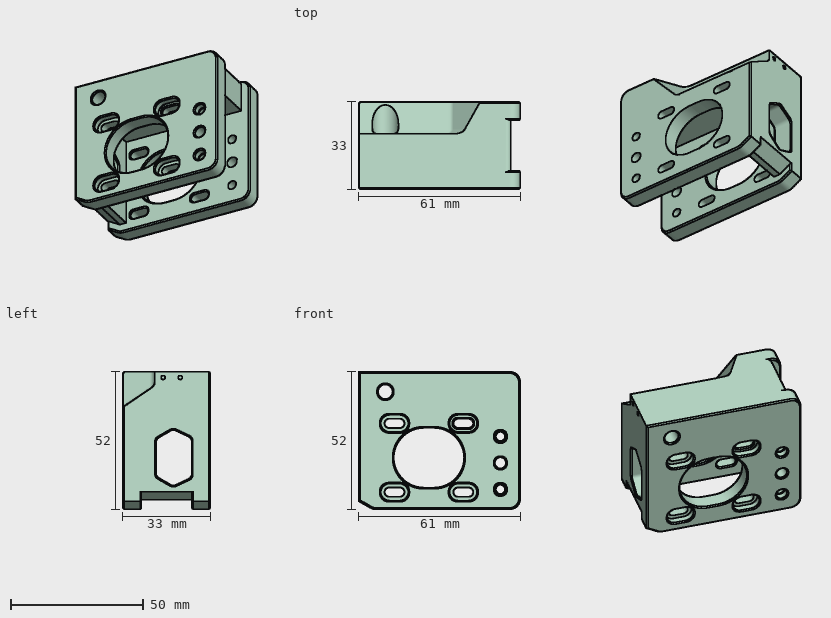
import cadquery as cq
import math

length = 61.0
depth = 33.0
height = 52.0
edge_chamfer = 0.55
corner_radius = 4.0
toe_rise = 3.05
toe_angle = 30.0
toe_run = toe_rise / math.tan(math.radians(toe_angle))
toe_radius = corner_radius

rim_thickness = 7.0
channel_depth = 3.55
channel_corner_radius = 2.0

left_wall = 8.0
motor_x = 26.5
motor_z = 19.45
cavity_top = 2 * motor_z
cavity_front_y = rim_thickness
cavity_back_y = depth - rim_thickness

mouth_chamfer = 0.5

slot_travel = 4.0
bore_diameter = 22.5
mount_spacing = 26.0
mount_slot_diameter = 3.4
mount_head_diameter = 6.35
mount_head_depth = 3.0

clamp_x = 10.0
clamp_z = 44.4
clamp_diameter = 5.5
spotface_diameter = 10.0

column_x = 53.5
column_z = 17.5
column_pitch = 10.0
column_diameter = 4.2
column_small_diameter = 3.5
column_step_depth = 3.05

window_y = 14.0
window_z = motor_z
window_front_y = 7.0
window_back_y = 20.45
window_half_height = 10.75
window_back_half_height = 7.1
window_front_half_height = 7.45
window_corner_radius = 2.0

pin_diameter = 1.5
pin_depth = 3.05
pin_z = 49.8
pin_ys = (11.35, 17.8)

relief_wall_y = 21.0
relief_floor_z = 38.6
relief_floor_angle = 34.0
relief_end_x = 34.8
relief_radius = 3.0


def front_plane(y):
    """Sketch plane facing the front, with local y along Z."""
    return cq.Workplane("XZ", origin=(0, y, 0))


def plate_outline(y, right, bottom, radius):
    """Plate profile: square upper left, sloped toe lower left, rounded right corners."""
    return (
        front_plane(y)
        .moveTo(0, bottom + toe_rise)
        .lineTo(0, height)
        .lineTo(right - radius, height)
        .radiusArc((right, height - radius), radius)
        .lineTo(right, bottom + radius)
        .radiusArc((right - radius, bottom), radius)
        .lineTo(toe_run, bottom)
        .close()
    )


def rim(y):
    """Full-size plate starting at y, chamfered around both faces."""
    plate = plate_outline(y, length, 0, corner_radius).extrude(-rim_thickness)
    toe_edge = cq.selectors.NearestToPointSelector((toe_run, y + rim_thickness / 2, 0))
    return plate.edges(toe_edge).fillet(toe_radius).faces("<Y or >Y").chamfer(edge_chamfer)


def body():
    """Core sunk by the channel depth, held between the front and back rims."""
    core = plate_outline(
        edge_chamfer, length - channel_depth, channel_depth, channel_corner_radius
    ).extrude(2 * edge_chamfer - depth)
    return core.union(rim(0)).union(rim(depth - rim_thickness))


def round_hole(x, z, diameter, start_y, end_y):
    return front_plane(start_y).center(x, z).circle(diameter / 2).extrude(start_y - end_y)


def slot(x, z, diameter, start_y, end_y):
    return (
        front_plane(start_y)
        .center(x, z)
        .slot2D(slot_travel + diameter, diameter)
        .extrude(start_y - end_y)
    )


def slot_lip(x, z, diameter, y, inward=1):
    """Chamfer cutter for a slot mouth at y, narrowing toward +Y (inward=1) or -Y (inward=-1)."""
    wide = diameter + 2 * mouth_chamfer
    return (
        front_plane(y)
        .center(x, z)
        .slot2D(slot_travel + wide, wide)
        .extrude(-inward * mouth_chamfer, taper=45)
    )


def hole_lip(x, z, diameter):
    """Chamfer cutter for the mouth of a round hole in the front face."""
    radius = diameter / 2 + mouth_chamfer
    return front_plane(0).center(x, z).circle(radius).extrude(-mouth_chamfer, taper=45)


def cavity():
    return cq.Workplane("XY").box(
        length - left_wall, cavity_back_y - cavity_front_y, cavity_top, centered=False
    ).translate((left_wall, cavity_front_y, 0))


def motor_bore():
    bore = slot(motor_x, motor_z, bore_diameter, 0, depth)
    for mouth_y, inward in ((0, 1), (cavity_front_y, -1), (cavity_back_y, 1)):
        bore = bore.union(slot_lip(motor_x, motor_z, bore_diameter, mouth_y, inward))
    return bore


def mount_slot(x, z):
    """Slot through both walls, with a sunk head pocket in the front wall."""
    through = slot(x, z, mount_slot_diameter, 0, depth)
    head = slot(x, z, mount_head_diameter, 0, mount_head_depth)
    front_lip = slot_lip(x, z, mount_head_diameter, 0)
    back_lip = slot_lip(x, z, mount_slot_diameter, cavity_back_y)
    return through.union(head).union(front_lip).union(back_lip)


def clamp_hole():
    hole = round_hole(clamp_x, clamp_z, clamp_diameter, 0, depth)
    lip = hole_lip(clamp_x, clamp_z, clamp_diameter)
    spotface = round_hole(clamp_x, clamp_z, spotface_diameter, relief_wall_y, depth)
    return hole.union(lip).union(spotface)


def column_hole(z, inner_diameter):
    """Hole through both walls that continues at inner_diameter behind its mouth."""
    mouth = round_hole(column_x, z, column_diameter, 0, column_step_depth)
    lip = hole_lip(column_x, z, column_diameter)
    return mouth.union(lip).union(round_hole(column_x, z, inner_diameter, 0, depth))


def window():
    profile = (
        cq.Workplane("YZ")
        .moveTo(window_y, window_z + window_half_height)
        .lineTo(window_back_y, window_z + window_back_half_height)
        .lineTo(window_back_y, window_z - window_back_half_height)
        .lineTo(window_y, window_z - window_half_height)
        .lineTo(window_front_y, window_z - window_front_half_height)
        .lineTo(window_front_y, window_z + window_front_half_height)
        .close()
    )
    passage = profile.extrude(left_wall).edges("|X").fillet(window_corner_radius)
    for side in ("<X", ">X"):
        mouth = (
            passage.faces(side).wires().toPending().workplane()
            .offset2D(mouth_chamfer).extrude(-mouth_chamfer, taper=45, combine=False)
        )
        passage = passage.union(mouth)
    return passage


def pin_holes():
    points = [(y, pin_z) for y in pin_ys]
    return cq.Workplane("YZ").pushPoints(points).circle(pin_diameter / 2).extrude(pin_depth)


def relief():
    """Sloped floor, upright wall and 45-degree end wall, blended with one radius."""
    angle = math.radians(relief_floor_angle)
    slope = cq.Plane(
        origin=(0, depth, relief_floor_z),
        xDir=(1, 0, 0),
        normal=(0, -math.cos(angle), math.sin(angle)),
    )
    reach = depth
    prism = (
        cq.Workplane(slope)
        .polyline([(-reach, 0), (relief_end_x, 0), (relief_end_x + reach, reach), (-reach, reach)])
        .close()
        .extrude(reach, both=True)
    )
    behind_wall = cq.Workplane("XY").box(
        2 * length, 2 * depth, 2 * height, centered=(True, False, False)
    ).translate((0, relief_wall_y, 0))
    cutter = prism.intersect(behind_wall)
    inner_corner = cutter.vertices(
        cq.selectors.NearestToPointSelector((relief_end_x, relief_wall_y, relief_floor_z))
    )
    return inner_corner.ancestors("Edge").fillet(relief_radius)


result = body().cut(cavity()).cut(motor_bore())

for x_side in (-1, 1):
    for z_side in (-1, 1):
        slot_x = motor_x + x_side * mount_spacing / 2
        slot_z = motor_z + z_side * mount_spacing / 2
        result = result.cut(mount_slot(slot_x, slot_z))

upper_right = (motor_x + mount_spacing / 2, motor_z + mount_spacing / 2)
result = result.cut(slot_lip(*upper_right, mount_slot_diameter, mount_head_depth))

result = result.cut(clamp_hole())
result = result.cut(column_hole(column_z, column_diameter))
for side in (-1, 1):
    result = result.cut(column_hole(column_z + side * column_pitch, column_small_diameter))

result = result.cut(window()).cut(pin_holes()).cut(relief())